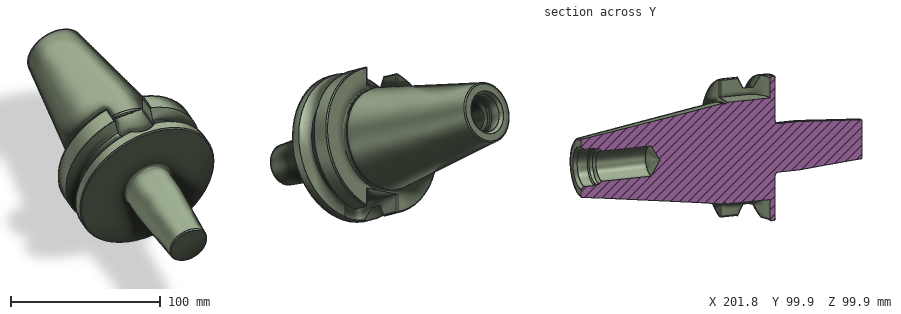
import cadquery as cq
import math

length = 201.8
taper_end = 101.0
taper_slope = 7 / 48
taper_large_r = 35.0
taper_small_r = taper_large_r - taper_end * taper_slope
taper_chamfer = 0.8
relief_drop = 0.5
relief_r = taper_large_r - relief_drop
relief_start = 102.3
relief_fillet = 1.0

flange_front = 104.7
flange_back = 139.6
front_rim_r = 99.5 / 2
back_rim_r = 99.9 / 2
groove_r = 42.2
front_rim_end = 117.5
groove_start = 121.0
groove_corner = 0.6
groove_end = 128.3
back_rim_start = 132.5
front_rim_chamfer = 1.2
front_rim_chamfer_height = 0.6
back_rim_chamfer = 0.8

nose_r = 17.0
nose_fillet = 2.2
nose_taper_start = 157.2
nose_tip_r = 13.7
tip_chamfer = 1.0
tip_chamfer_height = 0.6

slot_half_width = 26.0 / 2
slot_floor = 35.3
slot_tip = 135.6
slot_chamfer = 1.0
slot_center = slot_tip - slot_half_width

mouth_r = 14.5
counterbore_r = 12.7
mouth_depth = 2.5
counterbore_depth = 9.7
counterbore_bevel = 1.0
thread_r = 12.1
thread_lead_in = 13.1
core_r = 10.3
core_start = thread_lead_in + thread_r - core_r
core_end = 50.5
drill_half_angle = 59
drill_tip = core_end + core_r / math.tan(math.radians(drill_half_angle))


def make_body():
    """Revolve the outer outline, leaving the drive slots and the socket uncut."""
    fillet_middle = relief_fillet * math.sqrt(0.5)
    nose_middle = nose_fillet * (1 - math.sqrt(0.5))
    outline = (
        cq.Workplane("XY")
        .lineTo(0, taper_small_r - taper_chamfer)
        .lineTo(taper_chamfer, taper_small_r + taper_chamfer * taper_slope)
        .lineTo(taper_end, taper_large_r)
        .lineTo(relief_start, relief_r)
        .lineTo(flange_front - relief_fillet, relief_r)
        .threePointArc(
            (flange_front - relief_fillet + fillet_middle, relief_r + relief_fillet - fillet_middle),
            (flange_front, relief_r + relief_fillet),
        )
        .lineTo(flange_front, front_rim_r - front_rim_chamfer_height)
        .lineTo(flange_front + front_rim_chamfer, front_rim_r)
        .lineTo(front_rim_end, front_rim_r)
        .lineTo(groove_start, groove_r + groove_corner)
        .lineTo(groove_start + groove_corner, groove_r)
        .lineTo(groove_end, groove_r)
        .lineTo(back_rim_start, back_rim_r)
        .lineTo(flange_back - back_rim_chamfer, back_rim_r)
        .lineTo(flange_back, back_rim_r - back_rim_chamfer)
        .lineTo(flange_back, nose_r + nose_fillet)
        .threePointArc(
            (flange_back + nose_middle, nose_r + nose_middle),
            (flange_back + nose_fillet, nose_r),
        )
        .lineTo(nose_taper_start, nose_r)
        .lineTo(length - tip_chamfer, nose_tip_r)
        .lineTo(length, nose_tip_r - tip_chamfer_height)
        .lineTo(length, 0)
        .close()
    )
    return outline.revolve(360, (0, 0, 0), (1, 0, 0))


def make_socket():
    """Stepped, conical-bottomed hole for the pull stud."""
    outline = cq.Workplane("XY").polyline([
        (0, 0),
        (0, mouth_r),
        (mouth_depth, counterbore_r),
        (counterbore_depth, counterbore_r),
        (counterbore_depth + counterbore_bevel, thread_r),
        (thread_lead_in, thread_r),
        (core_start, core_r),
        (core_end, core_r),
        (drill_tip, 0),
    ]).close()
    return outline.revolve(360, (0, 0, 0), (1, 0, 0))


def make_slot():
    """Round-ended drive slot on the +Z side, with its chamfered edges."""
    height = back_rim_r - slot_floor
    open_width = slot_half_width + slot_chamfer
    slot = (
        cq.Workplane("XY", origin=(0, 0, slot_floor))
        .moveTo(flange_front, -open_width)
        .lineTo(flange_front + slot_chamfer, -slot_half_width)
        .lineTo(slot_center, -slot_half_width)
        .threePointArc((slot_tip, 0), (slot_center, slot_half_width))
        .lineTo(flange_front + slot_chamfer, slot_half_width)
        .lineTo(flange_front, open_width)
        .close()
        .extrude(height)
    )

    wall_top = math.sqrt(front_rim_r**2 - slot_half_width**2)
    bevel_bottom = wall_top - slot_chamfer
    bevel_top = back_rim_r
    bevel_half_width = slot_half_width + bevel_top - bevel_bottom
    rim_bevel = (
        cq.Workplane("YZ", origin=(flange_front, 0, 0))
        .polyline([
            (-slot_half_width, bevel_bottom),
            (slot_half_width, bevel_bottom),
            (bevel_half_width, bevel_top),
            (-bevel_half_width, bevel_top),
        ])
        .close()
        .extrude(front_rim_end - flange_front)
    )

    end_bevel = cq.Workplane(cq.Solid.makeCone(
        slot_half_width,
        slot_half_width + slot_chamfer,
        slot_chamfer,
        pnt=cq.Vector(slot_center, 0, back_rim_r - slot_chamfer),
    ))
    return slot.union(rim_bevel).union(end_bevel)


slot = make_slot()
result = make_body().cut(make_socket())
for side_angle in (0, 180):
    result = result.cut(slot.rotate((0, 0, 0), (1, 0, 0), side_angle))